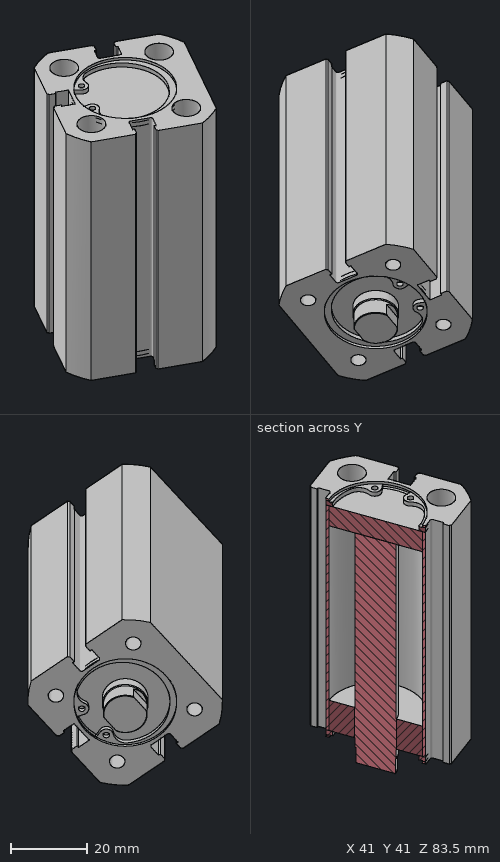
import cadquery as cq
import math


total_length = 83.5
rod_projection = 5.85
housing_length = total_length - rod_projection
housing_width = 41.0
half_width = housing_width / 2

flat_width = 30.4
corner_circle_radius = math.hypot(half_width, flat_width / 2)

bore_diameter = 27.0
groove_diameter = 28.7
groove_radius = groove_diameter / 2
groove_inset = 0.8
ring_thickness = 1.3
cover_inset = groove_inset + ring_thickness

slot_mouth_width = 5.3
slot_inner_width = 6.4
slot_lip = 2.3
slot_mouth_radius = 0.4
slot_floor_radius = 0.6
side_slot_depth = 6.0
front_slot_depth = 5.9

mount_spacing = 25.9
mount_hole_diameter = 4.0
counterbore_diameter = 7.5
counterbore_depth = 6.7

ring_inner_radius = 12.4
ring_inner_offset = 0.9
lug_hole_x = 5.2
lug_hole_y = -10.4
lug_hole_diameter = 1.7
lug_radius = 1.8
lug_blend_radius = 3.5

head_cover_length = 6.7
rod_cover_length = 10.0

rod_diameter = 12.0
rod_top = housing_length - cover_inset - head_cover_length
rod_tip_diameter = 11.5
rod_shoulder = 0.75
rod_tip_chamfer = 0.2
flats_width = 10.0
flats_top = 2.0


def cylinder(diameter, bottom, height):
    """Cylinder on the Z axis, from the given bottom upwards."""
    return cq.Workplane("XY").workplane(offset=bottom).circle(diameter / 2).extrude(height)


def slot_cutter(depth, floor_radius):
    """T-slot cutter for the -Y face of the housing, as long as the housing."""
    face = -half_width
    lip_end = face + slot_lip
    floor = face + depth
    inner = slot_inner_width / 2
    mouth = slot_mouth_width / 2
    rounded = mouth + slot_mouth_radius
    cutter = (
        cq.Workplane("XY")
        .moveTo(-rounded, face)
        .radiusArc((-mouth, face + slot_mouth_radius), slot_mouth_radius)
        .lineTo(-mouth, lip_end)
        .lineTo(-inner, lip_end)
        .lineTo(-inner, floor)
        .lineTo(inner, floor)
        .lineTo(inner, lip_end)
        .lineTo(mouth, lip_end)
        .lineTo(mouth, face + slot_mouth_radius)
        .radiusArc((rounded, face), slot_mouth_radius)
        .close()
        .extrude(housing_length)
    )
    if floor_radius > 0:
        cutter = cutter.faces(">Y").edges("|Z").fillet(floor_radius)
    return cutter


def make_housing():
    """Extruded profile with bore, ring grooves, three T-slots and four mounting holes."""
    body = cq.Workplane("XY").rect(housing_width, housing_width).extrude(housing_length)
    body = body.intersect(cylinder(2 * corner_circle_radius, 0, housing_length))
    body = body.cut(cylinder(bore_diameter, 0, housing_length))
    for bottom in (groove_inset, housing_length - cover_inset):
        body = body.cut(cylinder(groove_diameter, bottom, ring_thickness))
    side_slot = slot_cutter(side_slot_depth, slot_floor_radius)
    for angle in (90, -90):
        body = body.cut(side_slot.rotate((0, 0, 0), (0, 0, 1), angle))
    body = body.cut(slot_cutter(front_slot_depth, 0))
    return (
        body.faces(">Z")
        .workplane(origin=(0, 0, housing_length))
        .rect(mount_spacing, mount_spacing, forConstruction=True)
        .vertices()
        .cboreHole(mount_hole_diameter, counterbore_diameter, counterbore_depth)
    )


def point_towards(start, end, distance):
    """Point at a distance from the start on the ray through the end."""
    scale = distance / math.dist(start, end)
    return (start[0] + scale * (end[0] - start[0]), start[1] + scale * (end[1] - start[1]))


def opposite(point):
    """Mirror image of a point across the Y axis."""
    return (-point[0], point[1])


def make_retaining_ring(bottom):
    """Internal retaining ring: eccentric inner edge, radial gap at -Y and two drilled lugs."""
    axis = (0, 0)
    inner_centre = (0, -ring_inner_offset)
    lug_centre = (lug_hole_x, lug_hole_y)

    lug_distance = math.hypot(lug_hole_x, lug_hole_y)
    gap_angle = math.atan2(lug_hole_y, lug_hole_x) - math.asin(lug_radius / lug_distance)
    gap_direction = (math.cos(gap_angle), math.sin(gap_angle))
    gap_outer = point_towards(axis, gap_direction, groove_radius)
    gap_inner = point_towards(axis, gap_direction, math.sqrt(lug_distance**2 - lug_radius**2))

    centre_distance = math.dist(inner_centre, lug_centre)
    from_lug = lug_radius + lug_blend_radius
    from_inner = ring_inner_radius - lug_blend_radius
    along = (from_lug**2 - from_inner**2 + centre_distance**2) / (2 * centre_distance)
    across = math.sqrt(from_lug**2 - along**2)
    foot = point_towards(lug_centre, inner_centre, along)
    blend_centre = (
        foot[0] + across * (inner_centre[1] - lug_centre[1]) / centre_distance,
        foot[1] - across * (inner_centre[0] - lug_centre[0]) / centre_distance,
    )
    lug_end = point_towards(lug_centre, blend_centre, lug_radius)
    inner_end = point_towards(inner_centre, blend_centre, ring_inner_radius)

    ring = (
        cq.Workplane("XY")
        .workplane(offset=bottom)
        .moveTo(*opposite(gap_outer))
        .threePointArc((0, groove_radius), gap_outer)
        .lineTo(*gap_inner)
        .radiusArc(lug_end, lug_radius)
        .radiusArc(inner_end, -lug_blend_radius)
        .threePointArc((0, ring_inner_radius - ring_inner_offset), opposite(inner_end))
        .radiusArc(opposite(lug_end), -lug_blend_radius)
        .radiusArc(opposite(gap_inner), lug_radius)
        .close()
        .extrude(ring_thickness)
    )
    lug_holes = (
        cq.Workplane("XY")
        .workplane(offset=bottom)
        .pushPoints([lug_centre, opposite(lug_centre)])
        .circle(lug_hole_diameter / 2)
        .extrude(ring_thickness)
    )
    return ring.cut(lug_holes)


def make_head_cover():
    """Disc that closes the bore under the upper ring."""
    return cylinder(bore_diameter, rod_top, head_cover_length)


def make_rod_cover():
    """Disc above the lower ring that guides the rod."""
    disc = cylinder(bore_diameter, cover_inset, rod_cover_length)
    return disc.cut(cylinder(rod_diameter, cover_inset, rod_cover_length))


def make_rod():
    """Rod from the head cover to its stepped tip, which has two wrench flats with 45 degree run-outs."""
    rod_radius = rod_diameter / 2
    tip_radius = rod_tip_diameter / 2
    shoulder_chamfer = rod_radius - tip_radius
    rod = (
        cq.Workplane("XZ")
        .moveTo(0, rod_top)
        .lineTo(rod_radius, rod_top)
        .lineTo(rod_radius, -rod_shoulder)
        .lineTo(tip_radius, -rod_shoulder - shoulder_chamfer)
        .lineTo(tip_radius, -rod_projection + rod_tip_chamfer)
        .lineTo(tip_radius - rod_tip_chamfer, -rod_projection)
        .lineTo(0, -rod_projection)
        .close()
        .revolve(360, (0, 0), (0, 1))
    )

    flat_y = flats_width / 2
    flat_cutter = (
        cq.Workplane("YZ")
        .moveTo(flat_y, -rod_projection)
        .lineTo(flat_y, -flats_top)
        .lineTo(flat_y + flats_top, 0)
        .lineTo(rod_diameter, 0)
        .lineTo(rod_diameter, -rod_projection)
        .close()
        .extrude(rod_radius, both=True)
    )
    return rod.cut(flat_cutter).cut(flat_cutter.mirror("XZ"))


housing = make_housing()
head_cover = make_head_cover()
rod_cover = make_rod_cover()
rod = make_rod()
retaining_rings = [
    make_retaining_ring(bottom) for bottom in (groove_inset, housing_length - cover_inset)
]

result = cq.Compound.makeCompound(
    [
        housing.val(),
        head_cover.val(),
        rod_cover.val(),
        rod.val(),
        *[ring.val() for ring in retaining_rings],
    ]
)